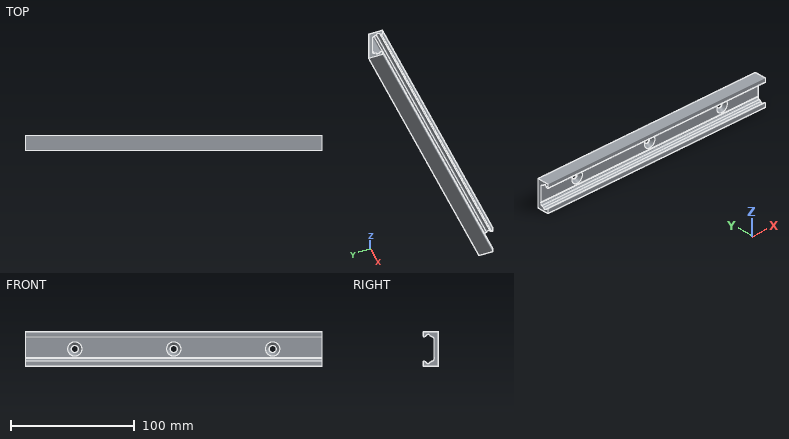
import cadquery as cq
import math

length = 240.0
depth = 12.2
height = 28.0
half_height = height / 2
back_y = depth / 2
front_y = -depth / 2
front_edge_radius = 0.5

web_thickness = 3.5
web_y = back_y - web_thickness
web_half_height = 8.5
corner_radius = 1.2
shoulder_half_height = 10.5
raceway_rear_depth = 6.7
raceway_front_depth = 9.8
raceway_bottom_half_height = 11.8
lip_half_height = 9.5
lip_nose_radius = 1.0

scribe_z = -7.2
scribe_width = 0.7
scribe_depth = 0.35

hole_count = 3
hole_pitch = length / hole_count
hole_diameter = 5.5
countersink_diameter = 11.5
countersink_angle = 90


def make_channel():
    """Constant C section, open to -Y and symmetric about Z = 0."""
    diagonal = math.sqrt(0.5)
    edge_mid = front_edge_radius * (1 - diagonal)
    nose_mid = lip_nose_radius * (1 - diagonal)
    corner_mid = corner_radius * (1 - diagonal)
    raceway_middle_depth = (raceway_rear_depth + raceway_front_depth) / 2
    upper_half = (
        cq.Workplane("YZ", origin=(-length / 2, 0, 0))
        .moveTo(back_y, 0)
        .lineTo(back_y, half_height)
        .lineTo(front_y + front_edge_radius, half_height)
        .threePointArc(
            (front_y + edge_mid, half_height - edge_mid),
            (front_y, half_height - front_edge_radius),
        )
        .lineTo(front_y, lip_half_height + lip_nose_radius)
        .threePointArc(
            (front_y + nose_mid, lip_half_height + nose_mid),
            (front_y + lip_nose_radius, lip_half_height),
        )
        .lineTo(back_y - raceway_front_depth, shoulder_half_height)
        .threePointArc(
            (back_y - raceway_middle_depth, raceway_bottom_half_height),
            (back_y - raceway_rear_depth, shoulder_half_height),
        )
        .lineTo(web_y - corner_radius, web_half_height + corner_radius)
        .threePointArc(
            (web_y - corner_mid, web_half_height + corner_radius - corner_mid),
            (web_y, web_half_height),
        )
        .lineTo(web_y, 0)
        .close()
        .extrude(length)
    )
    return upper_half.union(upper_half.mirror("XY")).clean()


def make_scribe_groove():
    """Full length V cutter on the inner face of the web."""
    return (
        cq.Workplane("YZ", origin=(-length / 2, 0, 0))
        .moveTo(web_y, scribe_z + scribe_width / 2)
        .lineTo(web_y + scribe_depth, scribe_z)
        .lineTo(web_y, scribe_z - scribe_width / 2)
        .close()
        .extrude(length)
    )


def drill_mounting_holes(channel):
    """Evenly pitched holes through the web, countersunk from inside the channel."""
    centres = [((i - (hole_count - 1) / 2) * hole_pitch, 0) for i in range(hole_count)]
    return (
        cq.Workplane("XZ", origin=(0, web_y, 0))
        .add(channel)
        .pushPoints(centres)
        .cskHole(hole_diameter, countersink_diameter, countersink_angle)
    )


result = drill_mounting_holes(make_channel()).cut(make_scribe_groove())